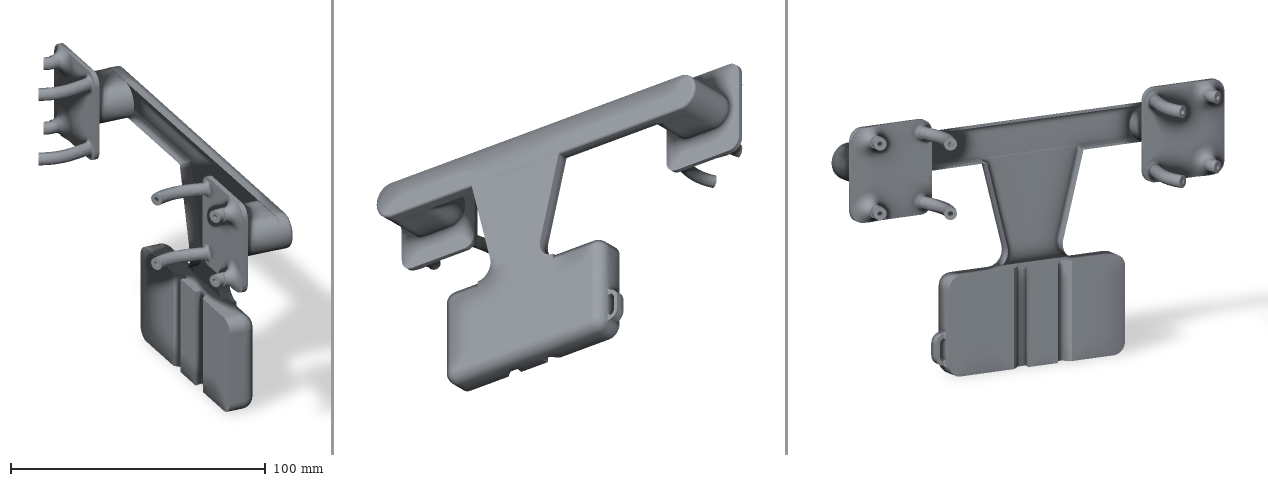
import cadquery as cq
import math


BAR_LENGTH = 159.9
BAR_HEIGHT = 14.9
BAR_FRONT = -5.0
BAR_BACK_FALL = 0.2
BAR_EDGE_RADIUS = 1.0
POST_LENGTH = 27.3
POST_HEIGHT = 14.5

PLATE_SPAN = 169.0
PLATE_WIDTH = 36.5
PLATE_HEIGHT = 38.3
PLATE_CORNER = 5.0
PLATE_BACK = -22.4
PLATE_FRONT = -24.4
LIP_REACH = 0.3
LIP_THICKNESS = 0.5
LIP_HEIGHT = 13.0

PIN_RADIUS = 2.5
PIN_BORE_RADIUS = 1.0
PIN_BORE_DEPTH = 2.5
PIN_Z = 14.0
PIN_TIP_ANGLE = 28
PIN_APEX = 0.65
LONG_PIN_X = 52.7
LONG_PIN_TIP_Y = -46.8
LONG_PIN_FLARE = 1.5
LONG_PIN_BOW = 2.2
LONG_PIN_START_ANGLE = 12
SHORT_PIN_X = 76.5
SHORT_PIN_TIP_Y = -32.9
SHORT_PIN_FLARE = 5.0
SHORT_PIN_BOW = 0.7
SHORT_PIN_START_ANGLE = 12

BLOCK_LEFT = -33.0
BLOCK_WIDTH = 79.8
BLOCK_TOP = -49.6
BLOCK_HEIGHT = 40.7
BLOCK_BACK = -BAR_BACK_FALL
BLOCK_FRONT = -11.9
BLOCK_CORNER = 5.0
BLOCK_BACK_RADIUS = 4.7

GROOVE_FLOOR = -9.0
RIB_LEFT = 2.9
RIB_RIGHT = 16.3
RIB_OVERHANG = 0.5
GROOVE_FLOOR_WIDTH = 3.5
GROOVE_SLOPE_WIDTH = 3.4

NECK_CENTRE = 10.0
NECK_TOP_WIDTH = 43.7
NECK_BOTTOM_WIDTH = 21.0
NECK_ROOT_DEPTH = 1.2
NECK_ROOT = BLOCK_TOP - NECK_ROOT_DEPTH
NECK_ROOT_RADIUS = 6.5

LOOP_REACH = 4.2
LOOP_TOP = -73.0
LOOP_BOTTOM = -85.9
LOOP_BACK = -5.0
LOOP_FRONT = -9.0
LOOP_BAR = 1.7
LOOP_CORNER = 3.9
LOOP_FOOT_FLARE = 0.7
LOOP_FOOT_EMBED = 0.2
FOOT_TAPER = 45


def front_plane(y):
    """Workplane facing -Y at the given Y, local axes X and Z."""
    return cq.Workplane("XZ", origin=(0, y, 0))


def side_mirror(shape):
    """The shape together with its mirror image across X = 0."""
    return shape.union(shape.mirror("YZ"))


def crossbar():
    """Round-ended bar with a slightly falling back face and softened back edges."""
    bar = front_plane(0).slot2D(BAR_LENGTH, BAR_HEIGHT).extrude(-BAR_FRONT)
    half = BAR_LENGTH / 2
    wedge = (
        cq.Workplane("XY")
        .polyline([(-half, 0), (half, 0), (half, -BAR_BACK_FALL)])
        .close()
        .extrude(BAR_HEIGHT, both=True)
    )
    return bar.cut(wedge).faces(">Y").edges().fillet(BAR_EDGE_RADIUS)


def post():
    """Left stadium-shaped post between the crossbar and its plate."""
    centre = -(BAR_LENGTH - POST_LENGTH) / 2
    return (
        front_plane(BAR_FRONT)
        .center(centre, 0)
        .slot2D(POST_LENGTH, POST_HEIGHT)
        .extrude(BAR_FRONT - PLATE_BACK)
    )


def plate_outline(depth):
    """Left plate's rounded outline pulled forward from the plate's back."""
    centre = -(PLATE_SPAN - PLATE_WIDTH) / 2
    return (
        front_plane(PLATE_BACK)
        .center(centre, 0)
        .rect(PLATE_WIDTH, PLATE_HEIGHT)
        .extrude(depth)
        .edges("|Y")
        .fillet(PLATE_CORNER)
    )


def pin(x, z, tip_y, start_angle, bow, flare):
    """Bowed pin with a flared foot and a bored tip that leans toward -X."""
    start = math.radians(start_angle)
    end = math.radians(PIN_TIP_ANGLE)
    end_direction = cq.Vector(-math.sin(end), -math.cos(end), 0)
    apex_y = PLATE_FRONT + PIN_APEX * (tip_y - PLATE_FRONT)
    path = cq.Workplane("XY", origin=(0, 0, z)).spline(
        [(x, PLATE_FRONT), (x + bow, apex_y), (x, tip_y)],
        tangents=[(math.sin(start), -math.cos(start)), (end_direction.x, end_direction.y)],
    )
    foot_plane = cq.Plane((x, PLATE_FRONT, z), (0, 0, 1), (math.sin(start), -math.cos(start), 0))
    stem = cq.Workplane(foot_plane).circle(PIN_RADIUS).sweep(path)
    tip = cq.Vector(x, tip_y, z)
    bore = cq.Solid.makeCylinder(PIN_BORE_RADIUS, PIN_BORE_DEPTH, tip, -end_direction)
    foot_radius = PIN_RADIUS + flare
    sag = flare * (1 - math.sqrt(0.5))
    foot = (
        cq.Workplane("XY", origin=(x, PLATE_BACK, z))
        .lineTo(foot_radius, 0)
        .lineTo(foot_radius, PLATE_FRONT - PLATE_BACK)
        .threePointArc(
            (PIN_RADIUS + sag, PLATE_FRONT - PLATE_BACK - sag),
            (PIN_RADIUS, PLATE_FRONT - PLATE_BACK - flare),
        )
        .lineTo(0, PLATE_FRONT - PLATE_BACK - flare)
        .close()
        .revolve(360, (0, 0, 0), (0, 1, 0))
    )
    foot = foot.intersect(plate_outline(PLATE_BACK - tip_y))
    return foot.union(stem).cut(cq.Workplane(bore))


def left_end():
    """Post, plate and four pins at the left end of the crossbar."""
    end = post().union(plate_outline(PLATE_BACK - PLATE_FRONT))
    short_pin = (SHORT_PIN_TIP_Y, SHORT_PIN_START_ANGLE, SHORT_PIN_BOW, SHORT_PIN_FLARE)
    long_pin = (LONG_PIN_TIP_Y, LONG_PIN_START_ANGLE, LONG_PIN_BOW, LONG_PIN_FLARE)
    for z in (-PIN_Z, PIN_Z):
        end = end.union(pin(-SHORT_PIN_X, z, *short_pin))
        end = end.union(pin(-LONG_PIN_X, z, *long_pin))
    return end


def edge_lip():
    """Thin strip on the upper half of the right plate's outer edge."""
    plate_edge = PLATE_SPAN / 2
    return (
        front_plane(PLATE_BACK)
        .moveTo(plate_edge - LIP_REACH, 0)
        .rect(2 * LIP_REACH, LIP_HEIGHT, centered=False)
        .extrude(LIP_THICKNESS)
    )


def neck():
    """Tapered web from the crossbar, flaring on arcs into the block."""
    bar_bottom = -BAR_HEIGHT / 2
    top_half = NECK_TOP_WIDTH / 2
    bottom_half = NECK_BOTTOM_WIDTH / 2
    taper = math.atan((top_half - bottom_half) / (bar_bottom - NECK_ROOT))
    tangent_length = NECK_ROOT_RADIUS / math.tan((math.pi / 2 - taper) / 2)
    flare_half = bottom_half + tangent_length
    arc_start = (
        bottom_half + tangent_length * math.sin(taper),
        NECK_ROOT + tangent_length * math.cos(taper),
    )
    turn = (math.pi / 2 + taper) / 2
    arc_middle = (
        flare_half - NECK_ROOT_RADIUS * math.sin(turn),
        NECK_ROOT + NECK_ROOT_RADIUS * (1 - math.cos(turn)),
    )
    half = (
        front_plane(BLOCK_BACK)
        .lineTo(top_half, 0)
        .lineTo(top_half, bar_bottom)
        .lineTo(*arc_start)
        .threePointArc(arc_middle, (flare_half, NECK_ROOT))
        .lineTo(flare_half, BLOCK_TOP - BLOCK_BACK_RADIUS)
        .lineTo(0, BLOCK_TOP - BLOCK_BACK_RADIUS)
        .close()
        .extrude(BLOCK_BACK - BAR_FRONT)
    )
    return side_mirror(half).translate((NECK_CENTRE, 0, 0))


def block():
    """Rounded lower block with a dovetail rib between two full-height grooves."""
    body = (
        front_plane(BLOCK_BACK)
        .moveTo(BLOCK_LEFT, BLOCK_TOP - BLOCK_HEIGHT)
        .rect(BLOCK_WIDTH, BLOCK_HEIGHT, centered=False)
        .extrude(BLOCK_BACK - BLOCK_FRONT)
        .edges("|Y")
        .fillet(BLOCK_CORNER)
        .faces(">Y")
        .edges()
        .fillet(BLOCK_BACK_RADIUS)
    )
    left_root = RIB_LEFT + RIB_OVERHANG
    right_root = RIB_RIGHT - RIB_OVERHANG
    left_floor = left_root - GROOVE_FLOOR_WIDTH
    right_floor = right_root + GROOVE_FLOOR_WIDTH
    left_groove = [
        (left_floor - GROOVE_SLOPE_WIDTH, BLOCK_FRONT),
        (left_floor, GROOVE_FLOOR),
        (left_root, GROOVE_FLOOR),
        (RIB_LEFT, BLOCK_FRONT),
    ]
    right_groove = [
        (RIB_RIGHT, BLOCK_FRONT),
        (right_root, GROOVE_FLOOR),
        (right_floor, GROOVE_FLOOR),
        (right_floor + GROOVE_SLOPE_WIDTH, BLOCK_FRONT),
    ]
    for outline in (left_groove, right_groove):
        groove = cq.Workplane("XY", origin=(0, 0, BLOCK_TOP)).polyline(outline).close().extrude(-BLOCK_HEIGHT)
        body = body.cut(groove)
    return body


def strap_loop():
    """Rounded U-shaped handle whose two legs run into the block's left side."""

    def rounded(reach, bottom, top, corner):
        return (
            front_plane(LOOP_BACK)
            .moveTo(BLOCK_LEFT - reach, bottom)
            .rect(reach + LOOP_BAR, top - bottom, centered=False)
            .extrude(LOOP_BACK - LOOP_FRONT)
            .edges("|Y and <X")
            .fillet(corner)
        )

    outer = rounded(LOOP_REACH, LOOP_BOTTOM, LOOP_TOP, LOOP_CORNER)
    inner = rounded(
        LOOP_REACH - LOOP_BAR, LOOP_BOTTOM + LOOP_BAR, LOOP_TOP - LOOP_BAR, LOOP_CORNER - LOOP_BAR
    )
    loop = outer.cut(inner)
    depth = LOOP_BACK - LOOP_FRONT
    foot_height = LOOP_FOOT_FLARE + LOOP_FOOT_EMBED
    for leg_z in (LOOP_TOP - LOOP_BAR / 2, LOOP_BOTTOM + LOOP_BAR / 2):
        foot = (
            cq.Workplane("YZ", origin=(BLOCK_LEFT + LOOP_FOOT_EMBED, LOOP_BACK - depth / 2, leg_z))
            .rect(depth + 2 * foot_height, LOOP_BAR + 2 * foot_height)
            .extrude(-foot_height, taper=FOOT_TAPER)
        )
        loop = loop.union(foot)
    return loop


result = (
    crossbar()
    .union(side_mirror(left_end()))
    .union(neck())
    .union(block())
    .union(strap_loop())
    .union(edge_lip())
)